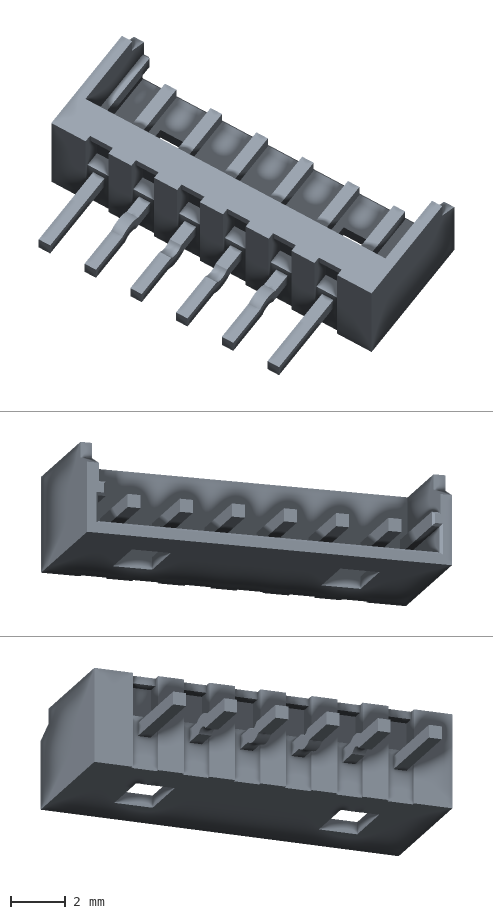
import cadquery as cq
import math

LENGTH = 14.0
DEPTH = 5.5
HEIGHT = 3.65
FRONT_WALL = 1.6
END_WALL = 0.45
FLOOR = 0.48

REAR_NOTCH_Y = 4.7
REAR_SLOPE_TOP_Z = 3.07
REAR_SLOPE_LOW_Z = 2.67

RAIL_WIDTH = 0.3
RAIL_BOTTOM_Z = 1.45
RAIL_TOP_Z = 2.0

MOUTH_CHAMFER = 0.1

WINDOW_WIDTH = 1.5
WINDOW_REAR_Y = 3.85

PIN_COUNT = 6
PITCH = LENGTH / 7
PIN_SIZE = PITCH / 4
PIN_BOTTOM_Z = 1.27
PIN_FRONT_Y = -3.5
PIN_REAR_Y = 4.9
KINK_Y = -1.2
KINK_HALF_LENGTH = 0.52
KINK_HEIGHT = 0.15
KINK_DIRECTIONS = (0, 1, -1, -1, 1, 0)

SLOT_WIDTH = 1.0
SLOT_DEPTH = 0.75
LIP_SETBACK = 0.3
LIP_HEIGHT = 0.3
BLOCK_SETBACK = 0.13
BLOCK_TOP_Z = 2.05

PIN_XS = [(i - (PIN_COUNT - 1) / 2) * PITCH for i in range(PIN_COUNT)]


def box(x_range, y_range, z_range):
    """Box between the given limits on each axis."""
    size = [high - low for low, high in (x_range, y_range, z_range)]
    corner = (x_range[0], y_range[0], z_range[0])
    return cq.Workplane("XY").box(*size, centered=False).translate(corner)


def extrude_along_x(side_profile, x_center, width):
    """Extrude a closed YZ profile by width, centred on x_center."""
    return side_profile.extrude(width / 2, both=True).translate((x_center, 0, 0))


def make_shell():
    """Solid block with the stepped, sloping rear end of the end walls."""
    profile = (
        cq.Workplane("YZ")
        .polyline([
            (0, 0),
            (DEPTH, 0),
            (DEPTH, REAR_SLOPE_LOW_Z),
            (REAR_NOTCH_Y, REAR_SLOPE_TOP_Z),
            (REAR_NOTCH_Y, HEIGHT),
            (0, HEIGHT),
        ])
        .close()
    )
    return extrude_along_x(profile, 0, LENGTH)


def make_housing():
    """Front wall, end walls with guide rails, and floor around a cavity open at the rear and top."""
    inner = LENGTH / 2 - END_WALL
    rail = inner - RAIL_WIDTH
    behind_wall = (FRONT_WALL, DEPTH)
    housing = make_shell().cut(box((-inner, inner), behind_wall, (FLOOR, HEIGHT)))
    for x_range in ((-inner, -rail), (rail, inner)):
        housing = housing.union(box(x_range, behind_wall, (RAIL_BOTTOM_Z, RAIL_TOP_Z)))

    margin = MOUTH_CHAMFER / 2
    mouth = cq.selectors.BoxSelector(
        (-inner - margin, DEPTH - margin, FLOOR - margin),
        (inner + margin, DEPTH + margin, RAIL_TOP_Z + margin),
    )
    return housing.faces(">Y").edges(mouth).chamfer(MOUTH_CHAMFER)


def make_slot(x):
    """Cutter for one front slot: a lip at the top and a block at the bottom stay in place."""
    profile = (
        cq.Workplane("YZ")
        .polyline([
            (0, 0),
            (BLOCK_SETBACK, 0),
            (BLOCK_SETBACK, BLOCK_TOP_Z),
            (SLOT_DEPTH, BLOCK_TOP_Z),
            (SLOT_DEPTH, HEIGHT - LIP_HEIGHT),
            (LIP_SETBACK, HEIGHT - LIP_HEIGHT),
            (LIP_SETBACK, HEIGHT),
            (0, HEIGHT),
        ])
        .close()
    )
    return extrude_along_x(profile, x, SLOT_WIDTH)


def make_window(x):
    half_width = WINDOW_WIDTH / 2
    return box((x - half_width, x + half_width), (FRONT_WALL, WINDOW_REAR_Y), (0, FLOOR))


def make_pin(x, kink_direction):
    """Square contact, straight or with a curved kink of constant thickness."""
    half = PIN_SIZE / 2
    middle_z = PIN_BOTTOM_Z + half
    if kink_direction == 0:
        return box((x - half, x + half), (PIN_FRONT_Y, PIN_REAR_Y), (PIN_BOTTOM_Z, PIN_BOTTOM_Z + PIN_SIZE))

    outer_radius = (KINK_HALF_LENGTH**2 + KINK_HEIGHT**2) / (2 * KINK_HEIGHT)
    inner_radius = outer_radius - PIN_SIZE
    inner_half = math.sqrt(inner_radius**2 - (outer_radius - KINK_HEIGHT - PIN_SIZE) ** 2)
    outer = kink_direction * half
    inner = -outer
    rise = kink_direction * KINK_HEIGHT
    profile = (
        cq.Workplane("YZ")
        .moveTo(PIN_FRONT_Y, outer)
        .lineTo(KINK_Y - KINK_HALF_LENGTH, outer)
        .threePointArc((KINK_Y, outer + rise), (KINK_Y + KINK_HALF_LENGTH, outer))
        .lineTo(PIN_REAR_Y, outer)
        .lineTo(PIN_REAR_Y, inner)
        .lineTo(KINK_Y + inner_half, inner)
        .threePointArc((KINK_Y, inner + rise), (KINK_Y - inner_half, inner))
        .lineTo(PIN_FRONT_Y, inner)
        .close()
    )
    return extrude_along_x(profile, x, PIN_SIZE).translate((0, 0, middle_z))


result = make_housing()
for pin_x in PIN_XS:
    result = result.cut(make_slot(pin_x))
for window_x in (-2 * PITCH, 2 * PITCH):
    result = result.cut(make_window(window_x))
for pin_x, direction in zip(PIN_XS, KINK_DIRECTIONS):
    result = result.union(make_pin(pin_x, direction))